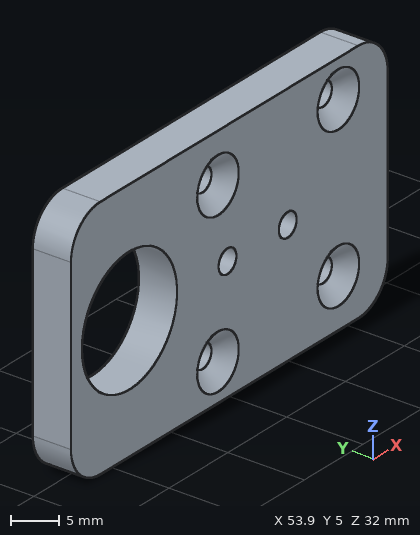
import cadquery as cq

length = 53.9
thickness = 5.0
height = 32.0
corner_radius = 5.0

opening_diameter = 16.2
opening_x = -17.0

hole_diameter = 3.0
plain_hole_spacing = 10.25
plain_hole_left_x = -0.3

sink_diameter = 7.05
sink_angle = 90.0
sink_row_spacing = 20.7
sink_column_left_x = -1.95
sink_column_spacing = 20.5
sink_column_shift = 0.75

plain_hole_points = [(plain_hole_left_x + i * plain_hole_spacing, 0) for i in range(2)]

sink_points = []
for column, shift in ((0, -sink_column_shift), (1, sink_column_shift)):
    for row in (-1, 1):
        x = sink_column_left_x + column * sink_column_spacing
        z = row * sink_row_spacing / 2 + shift
        sink_points.append((x, z))


def make_plate():
    """Rounded plate centred on the origin."""
    plate = cq.Workplane("XY").box(length, thickness, height)
    return plate.edges("|Y").fillet(corner_radius)


def front_face(body):
    """Workplane on the -Y face, with local axes along X and Z."""
    return body.faces("<Y").workplane(origin=(0, 0, 0))


result = make_plate()
result = front_face(result).center(opening_x, 0).hole(opening_diameter)
result = front_face(result).pushPoints(plain_hole_points).hole(hole_diameter)
result = front_face(result).pushPoints(sink_points).cskHole(hole_diameter, sink_diameter, sink_angle)